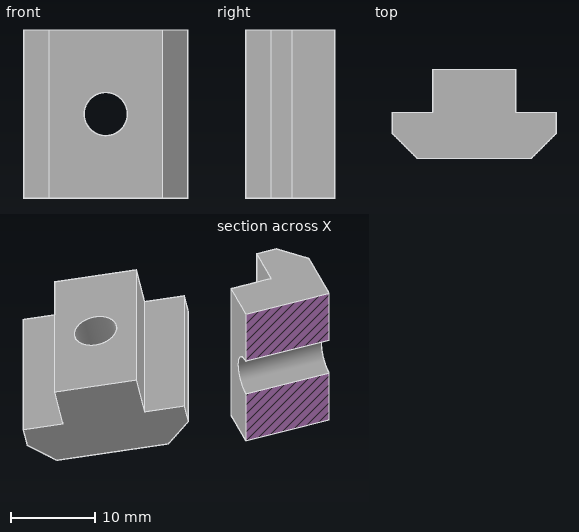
import cadquery as cq

flange_width = 19.5
total_depth = 10.6
length = 20.0

stem_width = 9.9
stem_depth = 5.1
chamfer = 3.0
hole_diameter = 5.1

flange_depth = total_depth - stem_depth


def make_flange():
    """Wide plate with its two front long edges chamfered; front face at Y = 0."""
    plate = cq.Workplane("XY").box(flange_width, flange_depth, length, centered=(True, False, True))
    return plate.faces("<Y").edges("|Z").chamfer(chamfer)


def make_stem():
    """Narrow block standing on the back of the flange."""
    block = cq.Workplane("XY").box(stem_width, stem_depth, length, centered=(True, False, True))
    return block.translate((0, flange_depth, 0))


def make_hole():
    """Central bore through the flange and the stem along Y."""
    return cq.Workplane("XZ").circle(hole_diameter / 2).extrude(-total_depth)


result = make_flange().union(make_stem()).cut(make_hole())